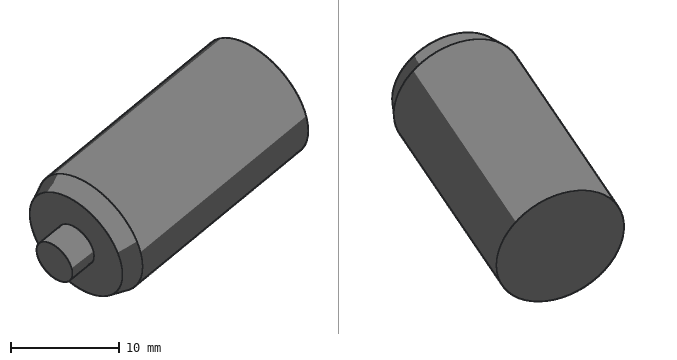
import cadquery as cq
import math

total_length = 28.0
body_diameter = 13.0
pin_diameter = 4.48
pin_length = 3.0
taper_length = 2.0
taper_angle = 20.0

body_radius = body_diameter / 2
pin_radius = pin_diameter / 2
nose_radius = body_radius - taper_length * math.tan(math.radians(taper_angle))

tip_y = -total_length / 2
nose_y = tip_y + pin_length
taper_end_y = nose_y + taper_length
back_y = total_length / 2

half_profile = (
    cq.Workplane("XY")
    .moveTo(0, tip_y)
    .lineTo(pin_radius, tip_y)
    .lineTo(pin_radius, nose_y)
    .lineTo(nose_radius, nose_y)
    .lineTo(body_radius, taper_end_y)
    .lineTo(body_radius, back_y)
    .lineTo(0, back_y)
    .close()
)

result = half_profile.revolve(360, (0, 0, 0), (0, 1, 0))